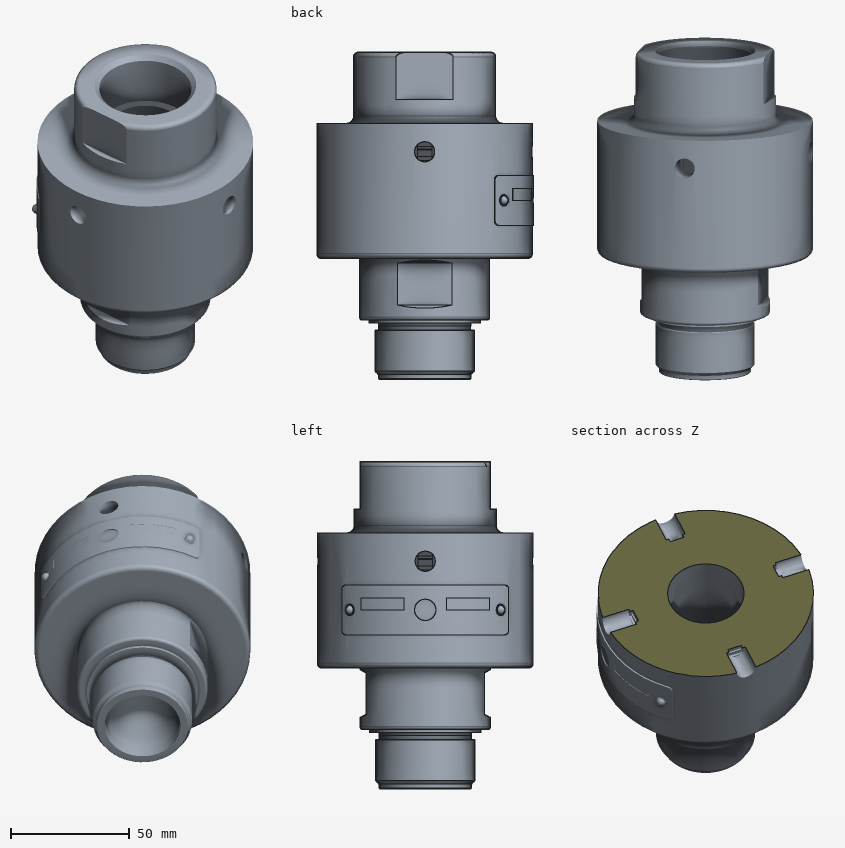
import cadquery as cq
import math

TOTAL_HEIGHT = 138.0
BODY_BOTTOM = 51.0
BODY_TOP = 108.0
LOWER_NECK_BOTTOM = 25.0
SHOULDER_BOTTOM = 23.7
RELIEF_STEP = 22.5
THREAD_TOP = 20.9
THREAD_RUNOUT_BOTTOM = 2.0

BODY_DIA = 91.0
UPPER_NECK_DIA = 60.0
LOWER_NECK_DIA = 55.0
SHOULDER_DIA = 47.0
RELIEF_DIA = 38.95
RELIEF_STEP_DIA = 38.91
THREAD_DIA = 41.91
TIP_DIA = 38.95
TIP_END_DIA = 38.2

NECK_TOP_FILLET = 2.0
NECK_ROOT_FILLET = 3.0
BODY_BOTTOM_FILLET = 2.0
LOWER_NECK_FILLET = 1.25
THREAD_TOP_CHAMFER = 0.3

BORE_DIA = 32.0
SOCKET_DIA = 38.95
SOCKET_MOUTH_DIA = 42.8
SOCKET_DEPTH = 23.0
SOCKET_MOUTH_ANGLE = 45.0

UPPER_FLAT_WIDTH = 55.0
UPPER_FLAT_HEIGHT = 20.0
LOWER_FLAT_WIDTH = 50.0
LOWER_FLAT_BOTTOM = 31.4
LOWER_FLAT_TOP = 49.0
LOWER_FLAT_END_ANGLE = 28.0

RADIAL_HOLE_DIA = 8.5
RADIAL_HOLE_DEPTH = 12.0
RADIAL_HOLE_Z = 96.0
RADIAL_HOLE_COUNT = 4
RECESS_WIDTH = 6.0
RECESS_STEPS = [(1.1, 2.2, 0.5), (0.7, 1.1, 1.0), (-1.9, 0.7, 1.5), (-3.7, -1.9, 1.0)]

PLATE_WIDTH = 80.0
PLATE_HEIGHT = 21.0
PLATE_THICKNESS = 0.5
PLATE_CORNER_RADIUS = 2.0
PLATE_Z = 75.5
PLATE_HOLE_DIA = 9.0
PLATE_HOLE_DEPTH = 0.6
FIELD_WIDTH = 20.0
FIELD_HEIGHT = 5.0
FIELD_SPACING = 38.0
FIELD_DEPTH = 0.1
RIVET_SPACING = 70.0
RIVET_DOME_DIA = 4.0
RIVET_RIM_DIA = 4.8
RIVET_RIM_HEIGHT = 0.2

BODY_RADIUS = BODY_DIA / 2
PLATE_RADIUS = BODY_RADIUS + PLATE_THICKNESS


def make_turned_body():
    """Solid of revolution with all outer steps, before boring."""
    body_r = BODY_RADIUS
    upper_r = UPPER_NECK_DIA / 2
    lower_r = LOWER_NECK_DIA / 2
    tip_chamfer = (TIP_DIA - TIP_END_DIA) / 2
    runout = (THREAD_DIA - TIP_DIA) / 2
    profile = (
        cq.Workplane("XZ")
        .moveTo(0, 0)
        .lineTo(TIP_END_DIA / 2, 0)
        .lineTo(TIP_DIA / 2, tip_chamfer)
        .lineTo(TIP_DIA / 2, THREAD_RUNOUT_BOTTOM)
        .lineTo(THREAD_DIA / 2, THREAD_RUNOUT_BOTTOM + runout)
        .lineTo(THREAD_DIA / 2, THREAD_TOP - THREAD_TOP_CHAMFER)
        .lineTo(THREAD_DIA / 2 - THREAD_TOP_CHAMFER, THREAD_TOP)
        .lineTo(RELIEF_STEP_DIA / 2, THREAD_TOP)
        .lineTo(RELIEF_STEP_DIA / 2, RELIEF_STEP)
        .lineTo(RELIEF_DIA / 2, RELIEF_STEP)
        .lineTo(RELIEF_DIA / 2, SHOULDER_BOTTOM)
        .lineTo(SHOULDER_DIA / 2, SHOULDER_BOTTOM)
        .lineTo(SHOULDER_DIA / 2, LOWER_NECK_BOTTOM)
        .lineTo(lower_r - LOWER_NECK_FILLET, LOWER_NECK_BOTTOM)
        .radiusArc((lower_r, LOWER_NECK_BOTTOM + LOWER_NECK_FILLET), -LOWER_NECK_FILLET)
        .lineTo(lower_r, BODY_BOTTOM)
        .lineTo(body_r - BODY_BOTTOM_FILLET, BODY_BOTTOM)
        .radiusArc((body_r, BODY_BOTTOM + BODY_BOTTOM_FILLET), -BODY_BOTTOM_FILLET)
        .lineTo(body_r, BODY_TOP)
        .lineTo(upper_r + NECK_ROOT_FILLET, BODY_TOP)
        .radiusArc((upper_r, BODY_TOP + NECK_ROOT_FILLET), NECK_ROOT_FILLET)
        .lineTo(upper_r, TOTAL_HEIGHT - NECK_TOP_FILLET)
        .radiusArc((upper_r - NECK_TOP_FILLET, TOTAL_HEIGHT), -NECK_TOP_FILLET)
        .lineTo(0, TOTAL_HEIGHT)
        .close()
    )
    return profile.revolve(360, (0, 0, 0), (0, 1, 0))


def make_bore():
    """Through bore with a wider, countersunk socket at the top."""
    socket_floor = TOTAL_HEIGHT - SOCKET_DEPTH
    mouth_step = (SOCKET_MOUTH_DIA - SOCKET_DIA) / 2
    mouth_depth = mouth_step * math.tan(math.radians(SOCKET_MOUTH_ANGLE))
    return (
        cq.Workplane("XZ")
        .moveTo(0, 0)
        .lineTo(BORE_DIA / 2, 0)
        .lineTo(BORE_DIA / 2, socket_floor)
        .lineTo(SOCKET_DIA / 2, socket_floor)
        .lineTo(SOCKET_DIA / 2, TOTAL_HEIGHT - mouth_depth)
        .lineTo(SOCKET_MOUTH_DIA / 2, TOTAL_HEIGHT)
        .lineTo(0, TOTAL_HEIGHT)
        .close()
        .revolve(360, (0, 0, 0), (0, 1, 0))
    )


def make_upper_flats():
    """Material removed for the two flats at the top of the upper neck."""
    neck_r = UPPER_NECK_DIA / 2
    flat_y = UPPER_FLAT_WIDTH / 2
    cutter = cq.Workplane("XY").box(
        UPPER_NECK_DIA, neck_r - flat_y, UPPER_FLAT_HEIGHT, centered=(True, False, False)
    )
    cutter = cutter.translate((0, flat_y, TOTAL_HEIGHT - UPPER_FLAT_HEIGHT))
    return cutter.union(cutter.mirror("XZ"))


def make_lower_flats():
    """Material removed for the two flats on the lower neck, with sloped ends."""
    neck_r = LOWER_NECK_DIA / 2
    flat_y = LOWER_FLAT_WIDTH / 2
    end_rise = (neck_r - flat_y) * math.tan(math.radians(LOWER_FLAT_END_ANGLE))
    cutter = (
        cq.Workplane("YZ")
        .polyline([
            (flat_y, LOWER_FLAT_BOTTOM),
            (neck_r, LOWER_FLAT_BOTTOM - end_rise),
            (neck_r, LOWER_FLAT_TOP + end_rise),
            (flat_y, LOWER_FLAT_TOP),
        ])
        .close()
        .extrude(neck_r, both=True)
    )
    return cutter.union(cutter.mirror("XZ"))


def make_radial_hole():
    """Blind hole from the -X side, with a stepped recess in its floor."""
    floor_radius = BODY_RADIUS - RADIAL_HOLE_DEPTH
    axis_plane = cq.Workplane("YZ", origin=(-floor_radius, 0, RADIAL_HOLE_Z))
    hole = axis_plane.circle(RADIAL_HOLE_DIA / 2).extrude(-RADIAL_HOLE_DEPTH)
    for low, high, depth in RECESS_STEPS:
        band_plane = axis_plane.center(0, (low + high) / 2)
        band = band_plane.rect(RECESS_WIDTH, high - low).extrude(depth)
        core = axis_plane.circle(RADIAL_HOLE_DIA / 2).extrude(depth)
        hole = hole.union(band.intersect(core))
    return hole


def arc_angle(length):
    """Angle in degrees covered by a length along the plate's outer surface."""
    return math.degrees(length / PLATE_RADIUS)


def curved_block(width, height, inner_radius, center_offset, center_z):
    """Cylindrical patch out to the plate surface, centred on an offset along the curve from -X."""
    angle = arc_angle(width)
    block = (
        cq.Workplane("XZ")
        .moveTo(inner_radius, center_z - height / 2)
        .lineTo(PLATE_RADIUS, center_z - height / 2)
        .lineTo(PLATE_RADIUS, center_z + height / 2)
        .lineTo(inner_radius, center_z + height / 2)
        .close()
        .revolve(angle, (0, 0, 0), (0, 1, 0))
    )
    middle = block.val().Center()
    to_x_axis = -math.degrees(math.atan2(middle.y, middle.x))
    turn = to_x_axis + 180 + arc_angle(center_offset)
    return block.rotate((0, 0, 0), (0, 0, 1), turn)


def make_plate():
    """Name plate wrapped around the body, with rounded corners and two sunken fields."""
    plate = curved_block(PLATE_WIDTH, PLATE_HEIGHT, BODY_RADIUS, 0, PLATE_Z)
    corner_edges = plate.edges().filter(lambda edge: edge.Length() < 2 * PLATE_THICKNESS)
    plate = corner_edges.fillet(PLATE_CORNER_RADIUS)
    for side in (-1, 1):
        field = curved_block(
            FIELD_WIDTH,
            FIELD_HEIGHT,
            PLATE_RADIUS - FIELD_DEPTH,
            side * FIELD_SPACING / 2,
            PLATE_Z + FIELD_HEIGHT / 2,
        )
        plate = plate.cut(field)
    return plate


def make_plate_hole():
    """Flat-bottomed round recess through the middle of the plate."""
    return (
        cq.Workplane("YZ", origin=(-PLATE_RADIUS, 0, PLATE_Z))
        .circle(PLATE_HOLE_DIA / 2)
        .extrude(PLATE_HOLE_DEPTH)
    )


def make_rivet(side):
    """Rivet head with a thin rim under its dome, at one end of the plate."""
    dome_r = RIVET_DOME_DIA / 2
    rim_r = RIVET_RIM_DIA / 2
    rim_top = PLATE_RADIUS + RIVET_RIM_HEIGHT
    dome_foot_r = math.sqrt(dome_r**2 - RIVET_RIM_HEIGHT**2)
    rivet = (
        cq.Workplane("XY", origin=(0, 0, PLATE_Z))
        .moveTo(BODY_RADIUS - PLATE_THICKNESS, 0)
        .lineTo(BODY_RADIUS - PLATE_THICKNESS, rim_r)
        .lineTo(rim_top, rim_r)
        .lineTo(rim_top, dome_foot_r)
        .radiusArc((PLATE_RADIUS + dome_r, 0), dome_r)
        .close()
        .revolve(360, (0, 0, 0), (1, 0, 0))
    )
    angle = 180 + side * arc_angle(RIVET_SPACING / 2)
    return rivet.rotate((0, 0, 0), (0, 0, 1), angle)


result = make_turned_body()
result = result.cut(make_bore())
result = result.cut(make_upper_flats())
result = result.cut(make_lower_flats())

radial_hole = make_radial_hole()
for index in range(RADIAL_HOLE_COUNT):
    hole_angle = index * 360 / RADIAL_HOLE_COUNT
    result = result.cut(radial_hole.rotate((0, 0, 0), (0, 0, 1), hole_angle))

result = result.union(make_plate())
result = result.cut(make_plate_hole())
for rivet_side in (-1, 1):
    result = result.union(make_rivet(rivet_side))